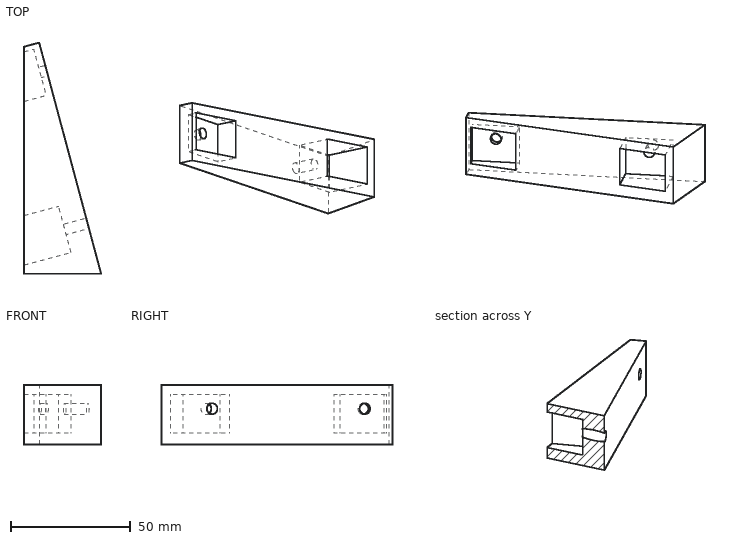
import cadquery as cq
import math

WEDGE_ANGLE = 15.0
SLOPE_LENGTH = 100.0
BASE_WIDTH = 32.35
HEIGHT = 25.0

POCKET_LENGTH = 20.0
POCKET_HEIGHT = 16.0
POCKET_BOTTOM = 5.0

WIDE_END_POCKET = (22.0, 10.0)
THIN_END_POCKET = (88.0, 3.0)

HOLE_DIAMETER = 4.5
HOLE_Z = 15.0

SIN_ANGLE = math.sin(math.radians(WEDGE_ANGLE))
COS_ANGLE = math.cos(math.radians(WEDGE_ANGLE))
TAN_ANGLE = math.tan(math.radians(WEDGE_ANGLE))

CUT_REACH = 2 * BASE_WIDTH


def make_wedge():
    """Wedge whose thin end is cut square to the sloped face."""
    tip_x = BASE_WIDTH - SLOPE_LENGTH * SIN_ANGLE
    tip_y = SLOPE_LENGTH * COS_ANGLE
    back_length = tip_y - tip_x * TAN_ANGLE
    outline = [(0, 0), (BASE_WIDTH, 0), (tip_x, tip_y), (0, back_length)]
    return cq.Workplane("XY").polyline(outline).close().extrude(HEIGHT)


def slope_plane(along_slope, wall):
    """Plane parallel to the sloped face, 'wall' inside it, facing into the part.

    Its origin is at Z = 0; its local X axis points down the slope and its local Y axis is +Z.
    """
    x = BASE_WIDTH - along_slope * SIN_ANGLE - wall * COS_ANGLE
    y = along_slope * COS_ANGLE - wall * SIN_ANGLE
    return cq.Plane(
        origin=(x, y, 0),
        xDir=(SIN_ANGLE, -COS_ANGLE, 0),
        normal=(-COS_ANGLE, -SIN_ANGLE, 0),
    )


def cut_pocket(body, along_slope, wall):
    """Cut one rectangular pocket and the screw hole through its floor."""
    floor = cq.Workplane(slope_plane(along_slope, wall))
    pocket = (
        floor.center(0, POCKET_BOTTOM + POCKET_HEIGHT / 2)
        .rect(POCKET_LENGTH, POCKET_HEIGHT)
        .extrude(CUT_REACH)
    )
    hole = floor.center(0, HOLE_Z).circle(HOLE_DIAMETER / 2).extrude(-CUT_REACH)
    return body.cut(pocket).cut(hole)


result = make_wedge()
for pocket_middle, floor_wall in (WIDE_END_POCKET, THIN_END_POCKET):
    result = cut_pocket(result, pocket_middle, floor_wall)